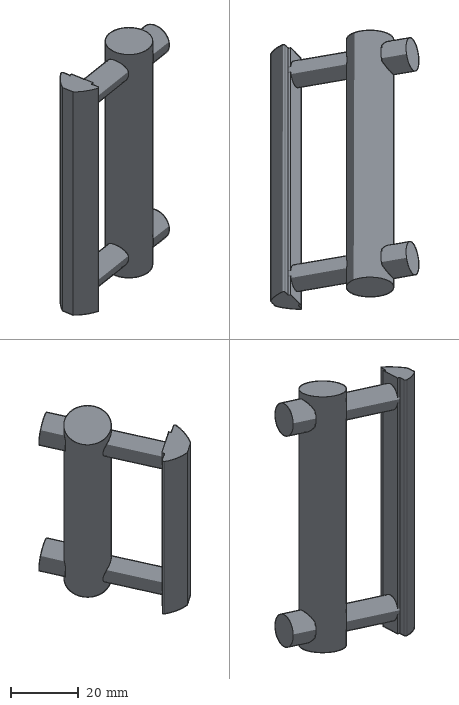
import math

import cadquery as cq

bar_diameter = 14.0
bar_length = 80.0

rod_end_distance = 7.0
rear_rod_diameter = 10.0
rear_rod_start = 5.5
rear_rod_length = 8.0
front_rod_diameter = 8.0

rail_front = -30.9
rail_depth = 7.25
lip_half_width = 7.0
tongue_half_width = 3.9
tongue_height = 0.8
lip_round = 0.5
nose_half_width = 1.9
flank_radius = 15.0

rail_rear = rail_front + rail_depth
shoulder = rail_rear - tongue_height


def flank_midpoint():
    """Middle of the bulging arc between the lip and the nose, on the +X side."""
    run = lip_half_width - nose_half_width
    rise = shoulder - rail_front
    chord = math.hypot(run, rise)
    bulge = flank_radius - math.sqrt(flank_radius**2 - (chord / 2) ** 2)
    mid_x = (lip_half_width + nose_half_width) / 2 + bulge * rise / chord
    mid_y = (shoulder + rail_front) / 2 - bulge * run / chord
    return mid_x, mid_y


def upright_bar():
    return cq.Workplane("XY").circle(bar_diameter / 2).extrude(bar_length)


def cross_rod(diameter, start_y, end_y, z):
    """Round rod along Y from start_y to end_y at height z."""
    sketch_plane = cq.Workplane("XZ", origin=(0, start_y, z))
    return sketch_plane.circle(diameter / 2).extrude(start_y - end_y)


def front_rail():
    """Rail with a raised tongue at the rear, rounded lips and a flat nose."""
    mid_x, mid_y = flank_midpoint()
    rail = (
        cq.Workplane("XY")
        .moveTo(-tongue_half_width, rail_rear)
        .lineTo(tongue_half_width, rail_rear)
        .lineTo(tongue_half_width, shoulder)
        .lineTo(lip_half_width, shoulder)
        .threePointArc((mid_x, mid_y), (nose_half_width, rail_front))
        .lineTo(-nose_half_width, rail_front)
        .threePointArc((-mid_x, mid_y), (-lip_half_width, shoulder))
        .lineTo(-tongue_half_width, shoulder)
        .close()
        .extrude(bar_length)
    )
    for side in (-1, 1):
        lip_corner = (side * lip_half_width, shoulder, bar_length / 2)
        rail = rail.edges(cq.NearestToPointSelector(lip_corner)).fillet(lip_round)
    return rail


result = upright_bar().union(front_rail())
for rod_z in (rod_end_distance, bar_length - rod_end_distance):
    rear_rod = cross_rod(rear_rod_diameter, rear_rod_start, rear_rod_start + rear_rod_length, rod_z)
    front_rod = cross_rod(front_rod_diameter, 0, shoulder, rod_z)
    result = result.union(rear_rod).union(front_rod)